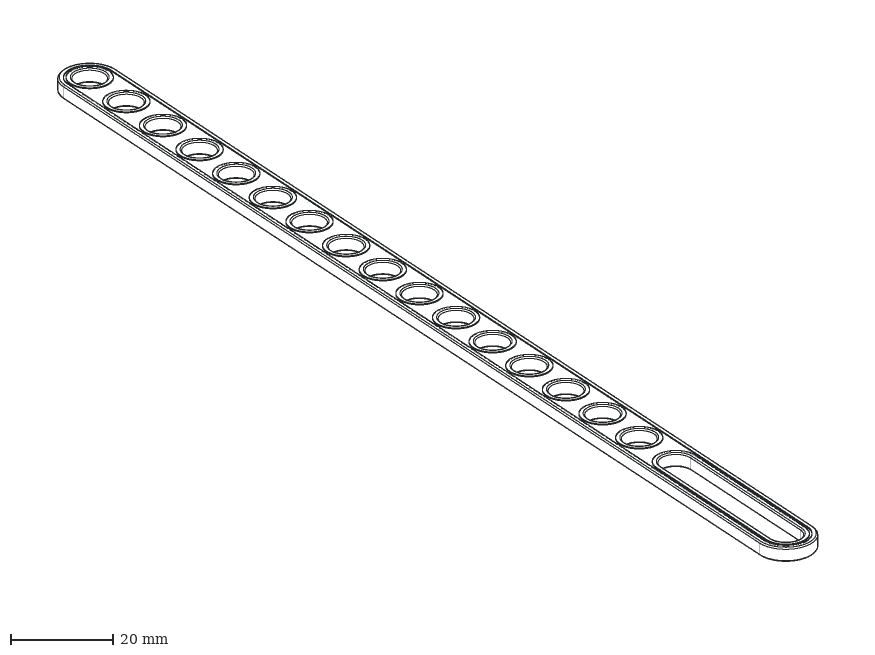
import cadquery as cq

length = 250.0
width = 12.5
half_thickness = 1.55
hole_diameter = 7.0
ring_diameter = 9.2
hole_count = 16
edge_chamfer = 0.3
border_width = 1.12
recess_depth = 0.2

thickness = 2 * half_thickness
bottom_z = -half_thickness
recess_floor_z = half_thickness - recess_depth
recess_width = width - 2 * border_width
end_radius = width / 2
hole_pitch = width
first_hole_x = -length / 2 + end_radius
slot_start_x = first_hole_x + hole_count * hole_pitch
last_centre_x = length / 2 - end_radius
hole_centres = [(first_hole_x + i * hole_pitch, 0) for i in range(hole_count)]


def stadium(start_x, end_x, stadium_width, base_z, height):
    """Upright slab with round ends centred at start_x and end_x."""
    return (
        cq.Workplane("XY")
        .workplane(offset=base_z)
        .center((start_x + end_x) / 2, 0)
        .slot2D(end_x - start_x + stadium_width, stadium_width)
        .extrude(height)
    )


def cylinders(diameter, base_z, height):
    """One upright cylinder on every hole centre."""
    return (
        cq.Workplane("XY")
        .workplane(offset=base_z)
        .pushPoints(hole_centres)
        .circle(diameter / 2)
        .extrude(height)
    )


def drilled_bar():
    """Round-ended bar with its row of holes and its slot, every face edge chamfered."""
    bar = stadium(first_hole_x, last_centre_x, width, bottom_z, thickness)
    bar = bar.cut(cylinders(hole_diameter, bottom_z, thickness))
    bar = bar.cut(stadium(slot_start_x, last_centre_x, hole_diameter, bottom_z, thickness))
    return bar.faces("<Z or >Z").edges().chamfer(edge_chamfer)


def recess():
    """Sunken area of the top face, between the border of the bar and the rings around the openings."""
    area = stadium(first_hole_x, last_centre_x, recess_width, recess_floor_z, recess_depth)
    hole_rings = cylinders(ring_diameter, recess_floor_z, recess_depth)
    slot_ring = stadium(slot_start_x, last_centre_x, ring_diameter, recess_floor_z, recess_depth)
    return area.cut(hole_rings).cut(slot_ring)


result = drilled_bar().cut(recess())